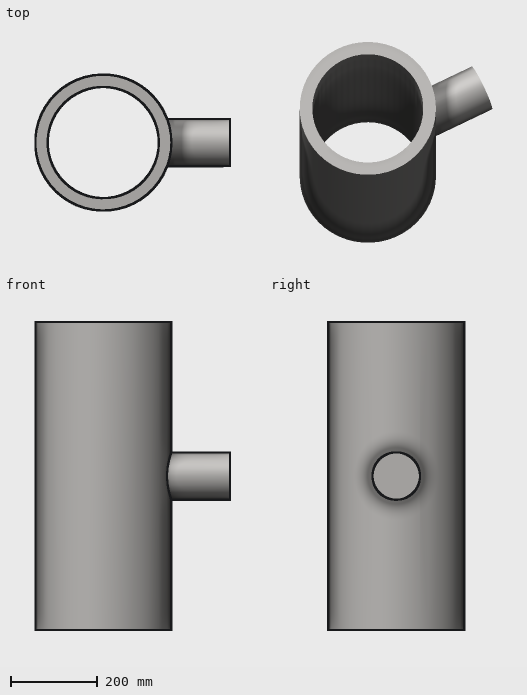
import cadquery as cq

pipe_length = 712.0
pipe_diameter = 315.0
wall_thickness = 29.0
bore_diameter = pipe_diameter - 2 * wall_thickness

branch_diameter = 110.0
overall_width = 451.0
branch_reach = overall_width - pipe_diameter / 2


def upright_cylinder(diameter):
    """Full-length cylinder on the pipe axis."""
    return cq.Workplane("XY").circle(diameter / 2).extrude(pipe_length / 2, both=True)


def side_branch():
    """Round branch running from the pipe axis out to its free end."""
    return cq.Workplane("YZ").circle(branch_diameter / 2).extrude(branch_reach)


result = upright_cylinder(pipe_diameter).union(side_branch()).cut(upright_cylinder(bore_diameter))